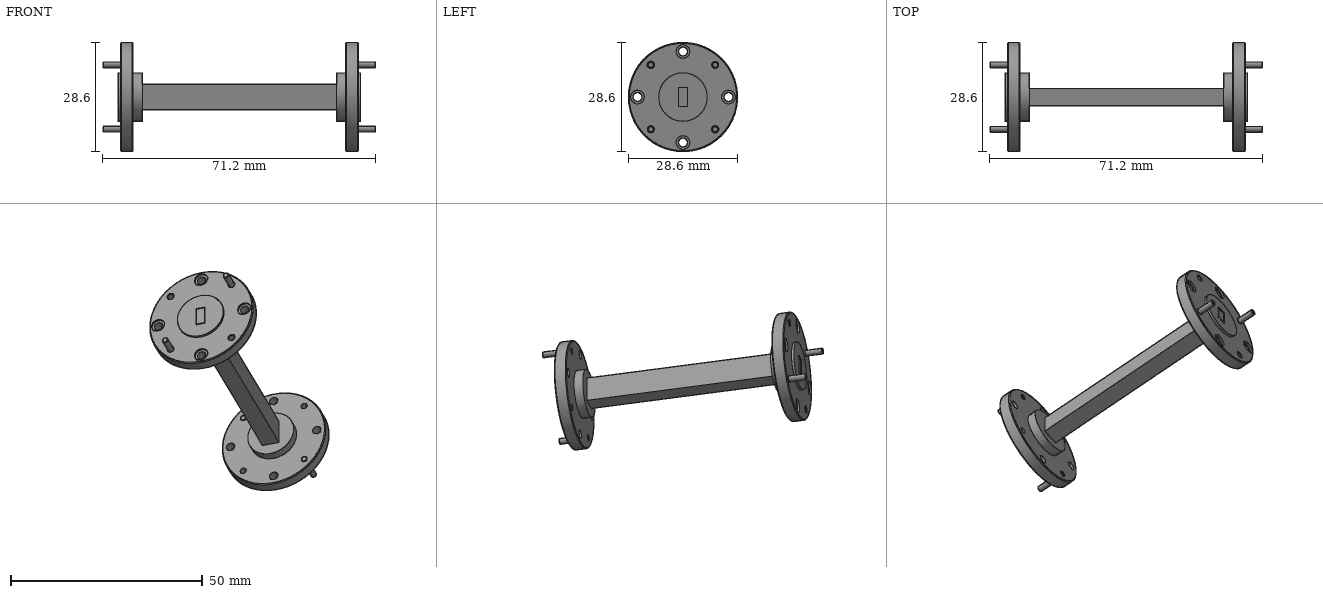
import cadquery as cq
import math

face_to_face = 63.4
pin_tip_span = 71.25
tube_length = 50.8
tube_width = 4.55
tube_height = 6.7

flange_diameter = 28.6
flange_thickness = 3.3
flange_chamfer = 0.25
hub_diameter = 12.7
mating_step = 0.65

aperture_width = 2.4
aperture_height = 4.9
aperture_depth = 0.3

hole_circle_radius = 11.9
bolt_hole_diameter = 2.3
counterbore_diameter = 3.55
counterbore_depth = 0.5
socket_diameter = 1.65
mouth_chamfer = 0.15
pin_diameter = 1.6
pin_chamfer = 0.15

mating_x = face_to_face / 2
disc_outer_x = mating_x - mating_step
disc_inner_x = disc_outer_x - flange_thickness
hub_inner_x = tube_length / 2
pin_tip_x = pin_tip_span / 2

LEFT, RIGHT = -1, 1
CHAMFER_ANGLE = 45
BOLT_ANGLES = (0, 90, 180, 270)
PIN_ANGLES = {LEFT: (135, 315), RIGHT: (45, 225)}
SOCKET_ANGLES = {LEFT: (45, 225), RIGHT: (135, 315)}


def circle_points(angles):
    """Points (Y, Z) on the hole circle."""
    return [
        (
            hole_circle_radius * math.cos(math.radians(angle)),
            hole_circle_radius * math.sin(math.radians(angle)),
        )
        for angle in angles
    ]


def cylinders(side, angles, diameter, inner_x, outer_x):
    """Cylinders along X on the hole circle, between two distances from the middle."""
    return (
        cq.Workplane("YZ", origin=(side * inner_x, 0, 0))
        .pushPoints(circle_points(angles))
        .circle(diameter / 2)
        .extrude(side * (outer_x - inner_x))
    )


def countersinks(side, angles, hole_diameter):
    """Cones that chamfer hole mouths on the outer face of the disc."""
    return (
        cq.Workplane("YZ", origin=(side * disc_outer_x, 0, 0))
        .pushPoints(circle_points(angles))
        .circle(hole_diameter / 2 + mouth_chamfer)
        .extrude(-side * mouth_chamfer, taper=CHAMFER_ANGLE)
    )


def make_flange(side):
    disc = (
        cq.Workplane("YZ", origin=(side * disc_inner_x, 0, 0))
        .circle(flange_diameter / 2)
        .extrude(side * flange_thickness)
        .edges()
        .chamfer(flange_chamfer)
    )
    hub = (
        cq.Workplane("YZ", origin=(side * hub_inner_x, 0, 0))
        .circle(hub_diameter / 2)
        .extrude(side * (mating_x - hub_inner_x))
    )
    aperture = (
        cq.Workplane("YZ", origin=(side * mating_x, 0, 0))
        .rect(aperture_width, aperture_height)
        .extrude(-side * aperture_depth)
    )
    bolt_holes = cylinders(side, BOLT_ANGLES, bolt_hole_diameter, disc_inner_x, disc_outer_x)
    counterbores = cylinders(
        side, BOLT_ANGLES, counterbore_diameter, disc_outer_x - counterbore_depth, disc_outer_x
    )
    sockets = cylinders(side, SOCKET_ANGLES[side], socket_diameter, disc_inner_x, disc_outer_x)
    pin_holes = cylinders(side, PIN_ANGLES[side], pin_diameter, disc_inner_x, disc_outer_x)
    socket_mouths = countersinks(side, SOCKET_ANGLES[side], socket_diameter)
    pin_hole_mouths = countersinks(side, PIN_ANGLES[side], pin_diameter)
    return (
        disc.union(hub)
        .cut(aperture)
        .cut(bolt_holes)
        .cut(counterbores)
        .cut(sockets)
        .cut(socket_mouths)
        .cut(pin_holes)
        .cut(pin_hole_mouths)
    )


def make_housing():
    """Bar and both flanges as one solid."""
    tube = cq.Workplane("XY").box(tube_length, tube_width, tube_height)
    return tube.union(make_flange(LEFT)).union(make_flange(RIGHT))


def make_pins(side):
    """Two alignment pins, flush with the inner face of the disc, chamfered at both ends."""
    pins = cylinders(side, PIN_ANGLES[side], pin_diameter, disc_inner_x, pin_tip_x)
    return pins.faces("<X or >X").edges().chamfer(pin_chamfer).solids()


housing = make_housing()
pins = [pin for side in (LEFT, RIGHT) for pin in make_pins(side).vals()]

result = cq.Compound.makeCompound([housing.val(), *pins])